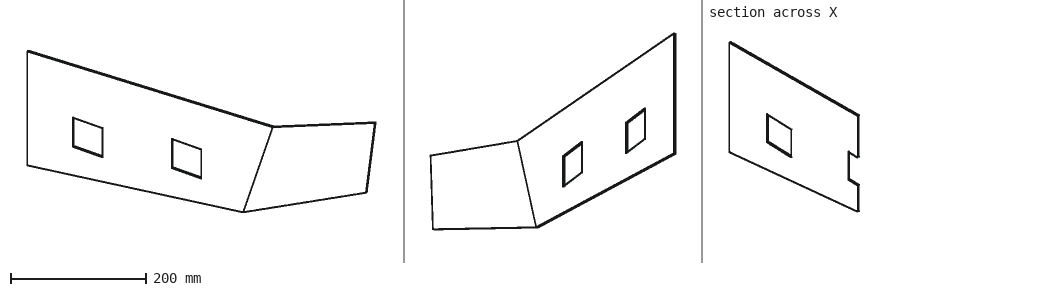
import cadquery as cq
import math

thickness = 3.0
blade_angle = 18.7

blade_end_height = 203.5
fold_bottom = (379.0, 53.5)
fold_top = (431.0, 224.0)

tip_top = cq.Vector(518.0, 243.5, 245.0)
tip_bottom_x = 494.0
tip_bottom_z = 107.0

hole_side = 52.0
hole_corners = [(80.0, 62.5), (253.0, 87.0)]

blade_direction = cq.Vector(
    math.cos(math.radians(blade_angle)),
    math.sin(math.radians(blade_angle)),
    0,
)
up = cq.Vector(0, 0, 1)
blade_normal = up.cross(blade_direction)


def on_blade(point):
    """Place a (distance, height) point on the outer face of the blade."""
    distance, height = point
    return blade_direction * distance + up * height


def plate(corners):
    """Thicken a flat outline along the blade normal, towards the inside of the bend."""
    outline = cq.Wire.makePolygon(corners, close=True)
    return cq.Workplane(cq.Solid.extrudeLinear(outline, [], blade_normal * thickness))


def square_hole(corner):
    """Square cutter running straight through the blade."""
    left, bottom = corner
    right = left + hole_side
    top = bottom + hole_side
    corners = [(left, bottom), (right, bottom), (right, top), (left, top)]
    return plate([on_blade(point) for point in corners])


blade_outline = [(0, 0), fold_bottom, fold_top, (0, blade_end_height)]
blade = plate([on_blade(point) for point in blade_outline])
for hole_corner in hole_corners:
    blade = blade.cut(square_hole(hole_corner))

wing_start = on_blade(fold_bottom)
wing_end = on_blade(fold_top)
wing_normal = (wing_end - wing_start).cross(tip_top - wing_start)
tip_bottom_y = wing_start.y - (
    wing_normal.x * (tip_bottom_x - wing_start.x)
    + wing_normal.z * (tip_bottom_z - wing_start.z)
) / wing_normal.y
tip_bottom = cq.Vector(tip_bottom_x, tip_bottom_y, tip_bottom_z)
wing = plate([wing_start, tip_bottom, tip_top, wing_end])

result = blade.union(wing)